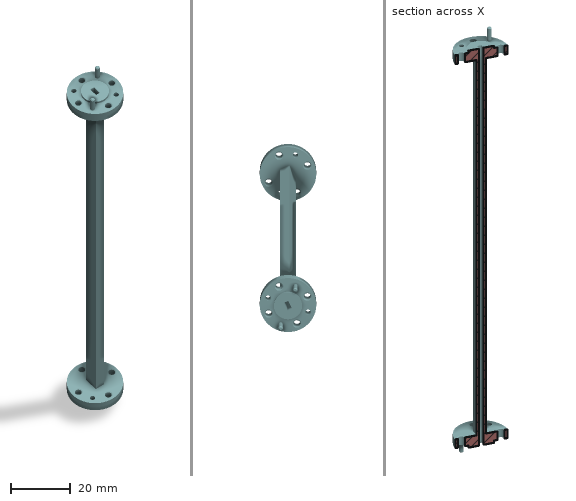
import cadquery as cq
import math

total_length = 161.0

flange_diameter = 19.0
flange_thickness = 3.5
boss_diameter = 9.5
boss_height = 0.8
hole_circle_diameter = 14.3
screw_hole_diameter = 2.3
screw_countersink_diameter = 2.9
screw_countersink_depth = 0.2
dowel_hole_diameter = 1.8

pin_diameter = 1.56
pin_projection = 5.0
pin_tip_chamfer = 0.3

tube_width = 5.3
tube_depth = 3.5
bore_width = 3.0
bore_depth = 1.56

flange_face = total_length / 2 - pin_projection
flange_back = flange_face - flange_thickness


def circle_points(*angles):
    """Points on the hole circle at the given angles in degrees."""
    radius = hole_circle_diameter / 2
    return [
        (radius * math.cos(math.radians(angle)), radius * math.sin(math.radians(angle)))
        for angle in angles
    ]


def make_screw_hole():
    """Cutter for a screw hole countersunk on both flange faces, standing on Z = 0."""
    hole_radius = screw_hole_diameter / 2
    rim_radius = screw_countersink_diameter / 2
    return (
        cq.Workplane("XZ")
        .moveTo(0, 0)
        .lineTo(rim_radius, 0)
        .lineTo(hole_radius, screw_countersink_depth)
        .lineTo(hole_radius, flange_thickness - screw_countersink_depth)
        .lineTo(rim_radius, flange_thickness)
        .lineTo(0, flange_thickness)
        .close()
        .revolve(360, (0, 0), (0, 1))
    )


def make_top_flange():
    """Flange with raised boss, countersunk screw holes, two dowel holes and two pins."""
    flange = (
        cq.Workplane("XY", origin=(0, 0, flange_back))
        .circle(flange_diameter / 2)
        .extrude(flange_thickness)
    )
    boss = (
        cq.Workplane("XY", origin=(0, 0, flange_face))
        .circle(boss_diameter / 2)
        .extrude(boss_height)
    )
    for x, y in circle_points(0, 90, 180, 270):
        flange = flange.cut(make_screw_hole().translate((x, y, flange_back)))
    dowel_holes = (
        cq.Workplane("XY", origin=(0, 0, flange_back))
        .pushPoints(circle_points(45, 225))
        .circle(dowel_hole_diameter / 2)
        .extrude(flange_thickness)
    )
    pins = (
        cq.Workplane("XY", origin=(0, 0, flange_back))
        .pushPoints(circle_points(135, 315))
        .circle(pin_diameter / 2)
        .extrude(flange_thickness + pin_projection)
        .faces(">Z")
        .chamfer(pin_tip_chamfer)
    )
    return flange.union(boss).cut(dowel_holes).union(pins)


top_flange = make_top_flange()
bottom_flange = top_flange.rotate((0, 0, 0), (1, 0, 0), 180)

tube = cq.Workplane("XY").box(tube_width, tube_depth, 2 * flange_back)
bore = cq.Workplane("XY").box(bore_width, bore_depth, total_length)

result = tube.union(top_flange).union(bottom_flange).cut(bore)